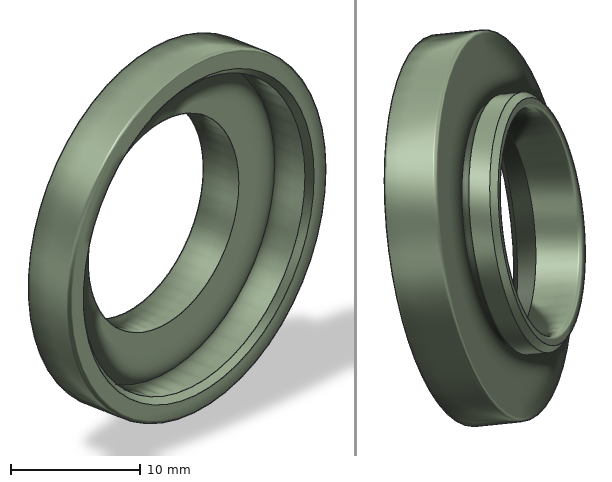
import cadquery as cq

total_length = 7.4
flange_diameter = 30.5
flange_length = 4.42
flange_fillet = 0.3

boss_diameter = 20.3
boss_length = 2.23
boss_chamfer = 0.503
neck_diameter = 19.3

bore_diameter = 17.8
bore_length = 3.8
bore_fillet = 0.3

recess_diameter = 26.3
recess_chamfer = 0.503

left_face = -total_length / 2
right_face = total_length / 2
flange_face = right_face - flange_length
boss_back = left_face + boss_length
recess_floor = left_face + bore_length


def disc(start, end, diameter):
    """Solid cylinder about X between two X positions."""
    return cq.Workplane("YZ", origin=(start, 0, 0)).circle(diameter / 2).extrude(end - start)


flange = disc(flange_face, right_face, flange_diameter)
boss = disc(left_face, boss_back, boss_diameter).faces("<X").edges().chamfer(boss_chamfer)
neck = disc(boss_back, flange_face, neck_diameter)
body = flange.union(neck).union(boss)

bored = body.cut(disc(left_face, right_face, bore_diameter))
recessed = bored.cut(disc(recess_floor, right_face, recess_diameter))
smallest_circles = cq.selectors.RadiusNthSelector(0)
largest_circles = cq.selectors.RadiusNthSelector(-1)
bore_rounded = recessed.faces("<X").edges(smallest_circles).fillet(bore_fillet)

outer_rounded = bore_rounded.edges(largest_circles).fillet(flange_fillet)

result = outer_rounded.faces(">X").edges(smallest_circles).chamfer(recess_chamfer)